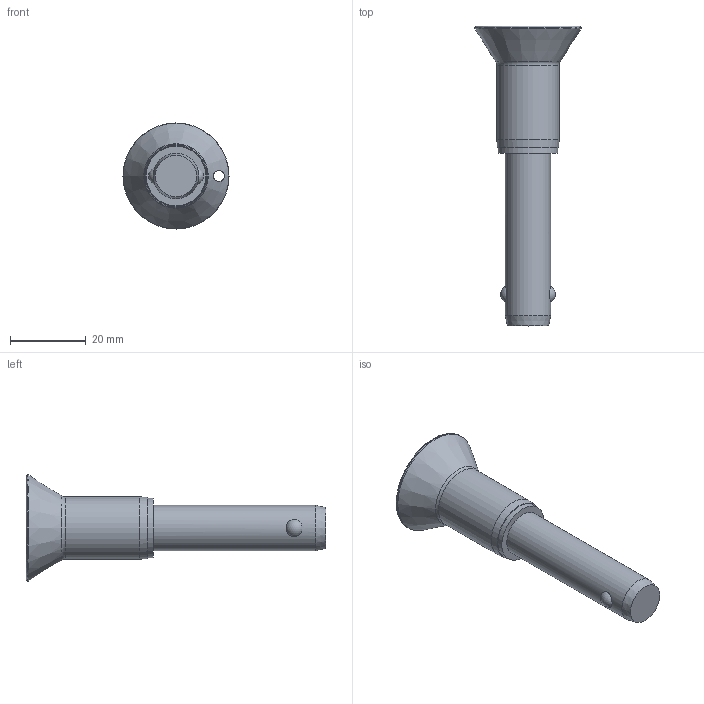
import cadquery as cq
import math


shank_radius = 6.0
shank_length = 45.6
tip_radius = 5.45
tip_length = 2.65

ball_radius = 2.35
ball_reach = 7.25
ball_from_tip = 8.4

collar_radius = 7.85
collar_length = 1.45
grip_radius = 8.25
grip_end_radius = 8.05
grip_taper_length = 2.1

head_radius = 14.0
total_length = 79.1
rim_rounding = 0.5
head_depth = 9.85
neck_blend = 0.48

hole_diameter = 2.9
hole_offset = 11.3

tip_y = -shank_length
back_y = total_length - shank_length
neck_y = back_y - head_depth
taper_y = collar_length + grip_taper_length


rim_center_x = head_radius - rim_rounding
rim_center_y = back_y - rim_rounding
rim_run = rim_center_x - grip_radius
rim_rise = rim_center_y - neck_y
flare_angle = math.atan2(rim_run, rim_rise) + math.asin(rim_rounding / math.hypot(rim_run, rim_rise))


def make_body():
    """Revolve the half outline of shank, collar, grip and head about the Y axis."""
    blend_radius = neck_blend / math.tan(flare_angle / 2)
    blend_start = (grip_radius, neck_y - neck_blend)
    blend_end = (
        grip_radius + neck_blend * math.sin(flare_angle),
        neck_y + neck_blend * math.cos(flare_angle),
    )
    rim_start = (
        rim_center_x + rim_rounding * math.cos(flare_angle),
        rim_center_y - rim_rounding * math.sin(flare_angle),
    )
    outline = (
        cq.Workplane("XY")
        .moveTo(0, tip_y)
        .lineTo(tip_radius, tip_y)
        .lineTo(shank_radius, tip_y + tip_length)
        .lineTo(shank_radius, 0)
        .lineTo(collar_radius, 0)
        .lineTo(collar_radius, collar_length)
        .lineTo(grip_end_radius, collar_length)
        .lineTo(grip_radius, taper_y)
        .lineTo(*blend_start)
        .radiusArc(blend_end, blend_radius)
        .lineTo(*rim_start)
        .radiusArc((head_radius, rim_center_y), -rim_rounding)
        .radiusArc((rim_center_x, back_y), -rim_rounding)
        .lineTo(0, back_y)
        .close()
    )
    return outline.revolve(360, (0, 0, 0), (0, 1, 0))


def add_balls(body):
    """Add the two locking balls on opposite sides of the shank."""
    for side in (-1, 1):
        center = (side * (ball_reach - ball_radius), tip_y + ball_from_tip, 0)
        body = body.union(cq.Workplane("XY").sphere(ball_radius).translate(center))
    return body


def cut_lanyard_hole(body):
    """Drill the hole through the flared head, parallel to the pin axis."""
    drill = (
        cq.Workplane("XZ", origin=(hole_offset, back_y, 0))
        .circle(hole_diameter / 2)
        .extrude(head_depth)
    )
    return body.cut(drill)


result = cut_lanyard_hole(add_balls(make_body()))